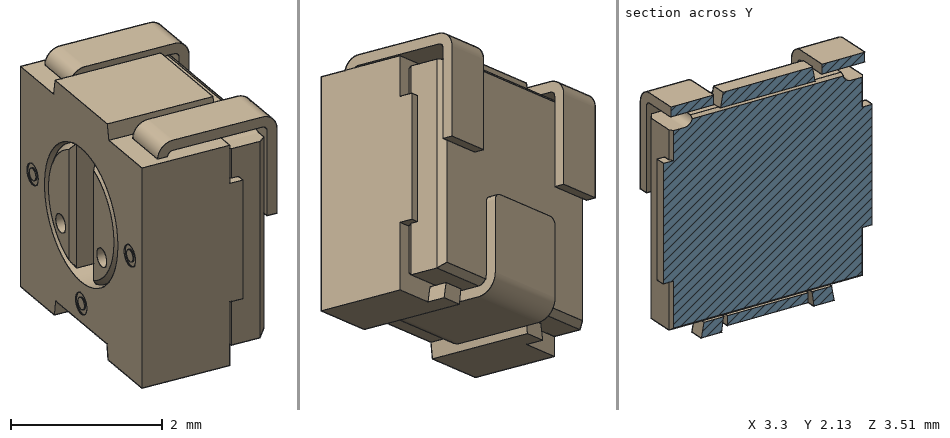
import cadquery as cq
import math


WIDTH = 3.3
HEIGHT = 3.51
DEPTH = 2.13
TOP = HEIGHT / 2

RIM = 0.225
SHOULDER = TOP - RIM
HOUSING_DEPTH = 1.327
TAB_DEPTH = 1.597
TAB_TOP_WIDTH = 1.418
TAB_BASE_WIDTH = 1.502
NOTCH_ROOF_WIDTH = 1.39
NOTCH_MOUTH_WIDTH = 1.453
FOOT_TOP_WIDTH = 2.022
FOOT_BASE_WIDTH = 2.105
EAR_DEPTH = 1.525
EAR_BOTTOM = -0.807
EAR_TOP = 0.96

PLATE_WIDTH = 3.06
PLATE_BACK = 1.955
CORNER_DEPTH = 0.13
CORNER_FLOOR = 0.21
PLATE_FRONT_CHAMFER = 0.09
PLATE_BACK_CHAMFER = 0.105
PLATE_FRONT_INSET = 0.065
PLATE_BACK_INSET = 0.08

ROTOR_Z = 0.07
BORE_RADIUS = 0.997
BORE_DEPTH = 0.702
ROTOR_RADIUS = 0.965
ROTOR_CHAMFER = 0.077
SLOT_WIDTH = 0.52
SLOT_DEPTH = 0.5
DIMPLE_RADIUS = 0.135
DIMPLE_DEPTH = 0.21
DIMPLE_X = 0.558
DIMPLE_DROP = 0.38

RING_OFFSET = 1.32
RING_OUTER_RADIUS = 0.155
RING_INNER_RADIUS = 0.088
RING_DEPTH = 0.018

SHEET = 0.15
FRONT_BEND = 0.23
FRONT_TIP = 0.302
TIP_EMBED = 0.105
UPPER_WIDTH = 0.677
UPPER_X = 1.195
UPPER_BACK = PLATE_BACK + SHEET
UPPER_BEND = 0.225
UPPER_LEG_END = 0.265
LOWER_WIDTH = 1.278
LOWER_BEND = 0.285
LOWER_LEG_END = 0.28
LOWER_CORNER = 0.105


def block(x_size, y_start, y_end, z_start, z_end):
    """Box centred on X = 0."""
    size = (x_size, y_end - y_start, z_end - z_start)
    return cq.Workplane("XY").box(*size, centered=(True, False, False)).translate((0, y_start, z_start))


def trapezoid(bottom_width, top_width, z_bottom, y_start, y_end):
    """Prism along Y, one rim high, with sloping sides."""
    outline = [
        (-bottom_width / 2, z_bottom),
        (bottom_width / 2, z_bottom),
        (top_width / 2, z_bottom + RIM),
        (-top_width / 2, z_bottom + RIM),
    ]
    prism = cq.Workplane("XZ").polyline(outline).close().extrude(y_start - y_end)
    return prism.translate((0, y_start, 0))


def front_cylinder(x, z, radius, depth):
    """Cylinder running back from the front face."""
    return cq.Workplane("XZ").center(x, z).circle(radius).extrude(-depth)


def make_housing():
    body = block(WIDTH, 0, HOUSING_DEPTH, -TOP, SHOULDER)
    ears = block(WIDTH, HOUSING_DEPTH, EAR_DEPTH, EAR_BOTTOM, EAR_TOP)
    tab = trapezoid(TAB_BASE_WIDTH, TAB_TOP_WIDTH, SHOULDER, 0, TAB_DEPTH)
    feet = trapezoid(FOOT_BASE_WIDTH, FOOT_TOP_WIDTH, -TOP, HOUSING_DEPTH, TAB_DEPTH)
    notch = trapezoid(NOTCH_MOUTH_WIDTH, NOTCH_ROOF_WIDTH, -TOP, 0, TAB_DEPTH)
    bore = front_cylinder(0, ROTOR_Z, BORE_RADIUS, BORE_DEPTH)
    return body.union(ears).union(tab).union(feet).cut(notch).cut(bore)


def plate_profile(plane, half_size):
    """Long bar whose section is the plate thickness, with chamfered front and back edges."""
    half_front = half_size - PLATE_FRONT_INSET
    half_back = half_size - PLATE_BACK_INSET
    side_start = HOUSING_DEPTH + PLATE_FRONT_CHAMFER
    side_end = PLATE_BACK - PLATE_BACK_CHAMFER
    outline = [
        (half_front, HOUSING_DEPTH),
        (half_size, side_start),
        (half_size, side_end),
        (half_back, PLATE_BACK),
        (-half_back, PLATE_BACK),
        (-half_size, side_end),
        (-half_size, side_start),
        (-half_front, HOUSING_DEPTH),
    ]
    return plane.polyline(outline).close().extrude(HEIGHT, both=True)


def make_plate():
    plan = plate_profile(cq.Workplane("XY"), PLATE_WIDTH / 2)
    side_plane = cq.Plane(origin=(0, 0, 0), xDir=(0, 0, 1), normal=(-1, 0, 0))
    side = plate_profile(cq.Workplane(side_plane), SHOULDER)
    plate = plan.intersect(side)
    recess_x = PLATE_WIDTH / 2 - CORNER_FLOOR
    for side_sign in (-1, 1):
        inner_end = front_cylinder(side_sign * recess_x, SHOULDER, CORNER_DEPTH, DEPTH)
        floor = block(2 * CORNER_FLOOR, 0, DEPTH, SHOULDER - CORNER_DEPTH, SHOULDER)
        floor = floor.translate((side_sign * (recess_x + CORNER_FLOOR), 0, 0))
        plate = plate.cut(inner_end).cut(floor)
    return plate


def make_rotor():
    rotor = front_cylinder(0, ROTOR_Z, ROTOR_RADIUS, BORE_DEPTH).faces("<Y").chamfer(ROTOR_CHAMFER)
    half_slot = SLOT_WIDTH / 2
    slot_outline = [
        (-half_slot - ROTOR_CHAMFER, 0),
        (half_slot + ROTOR_CHAMFER, 0),
        (half_slot, ROTOR_CHAMFER),
        (half_slot, SLOT_DEPTH),
        (-half_slot, SLOT_DEPTH),
        (-half_slot, ROTOR_CHAMFER),
    ]
    slot = cq.Workplane("XY").polyline(slot_outline).close().extrude(HEIGHT, both=True)
    rotor = rotor.cut(slot)
    for x in (-DIMPLE_X, DIMPLE_X):
        rotor = rotor.cut(front_cylinder(x, ROTOR_Z - DIMPLE_DROP, DIMPLE_RADIUS, DIMPLE_DEPTH))
    return rotor


def make_ring_marks():
    centres = [(-RING_OFFSET, ROTOR_Z), (RING_OFFSET, ROTOR_Z), (0, ROTOR_Z - RING_OFFSET)]
    marks = cq.Workplane("XZ").pushPoints(centres).circle(RING_OUTER_RADIUS).extrude(-RING_DEPTH)
    islands = cq.Workplane("XZ").pushPoints(centres).circle(RING_INNER_RADIUS).extrude(-RING_DEPTH)
    return marks.cut(islands)


def arc_middle(centre, radius, y_side):
    """Middle point of an upper quarter arc that lies on the given Y side of its centre."""
    offset = radius * math.sqrt(0.5)
    return (centre[0] + y_side * offset, centre[1] + offset)


def make_terminal(width, back, crown, bend, leg_end):
    """Bent strip with its flat outer side at Z = crown and its rear leg hanging to leg_end."""
    tip_end = SHOULDER - TIP_EMBED
    underside = crown - SHEET
    front = (FRONT_TIP + FRONT_BEND, crown - FRONT_BEND)
    rear = (back - bend, crown - bend)
    strip = (
        cq.Workplane("YZ")
        .moveTo(FRONT_TIP, tip_end)
        .lineTo(FRONT_TIP, front[1])
        .threePointArc(arc_middle(front, FRONT_BEND, -1), (front[0], crown))
        .lineTo(rear[0], crown)
        .threePointArc(arc_middle(rear, bend, 1), (back, rear[1]))
        .lineTo(back, leg_end)
        .lineTo(back - SHEET, leg_end)
        .lineTo(back - SHEET, rear[1])
        .threePointArc(arc_middle(rear, bend - SHEET, 1), (rear[0], underside))
        .lineTo(front[0], underside)
        .threePointArc(arc_middle(front, FRONT_BEND - SHEET, -1), (FRONT_TIP + SHEET, front[1]))
        .lineTo(FRONT_TIP + SHEET, tip_end)
        .close()
    )
    return strip.extrude(width / 2, both=True)


upper = make_terminal(UPPER_WIDTH, UPPER_BACK, TOP, UPPER_BEND, UPPER_LEG_END)

lower = make_terminal(LOWER_WIDTH, DEPTH, SHOULDER + SHEET, LOWER_BEND, LOWER_LEG_END)
lower = lower.edges("|Y and <Z").fillet(LOWER_CORNER).mirror("XY")

result = make_housing().union(make_plate()).union(make_rotor()).cut(make_ring_marks())
for x in (-UPPER_X, UPPER_X):
    result = result.union(upper.translate((x, 0, 0)))
result = result.union(lower)